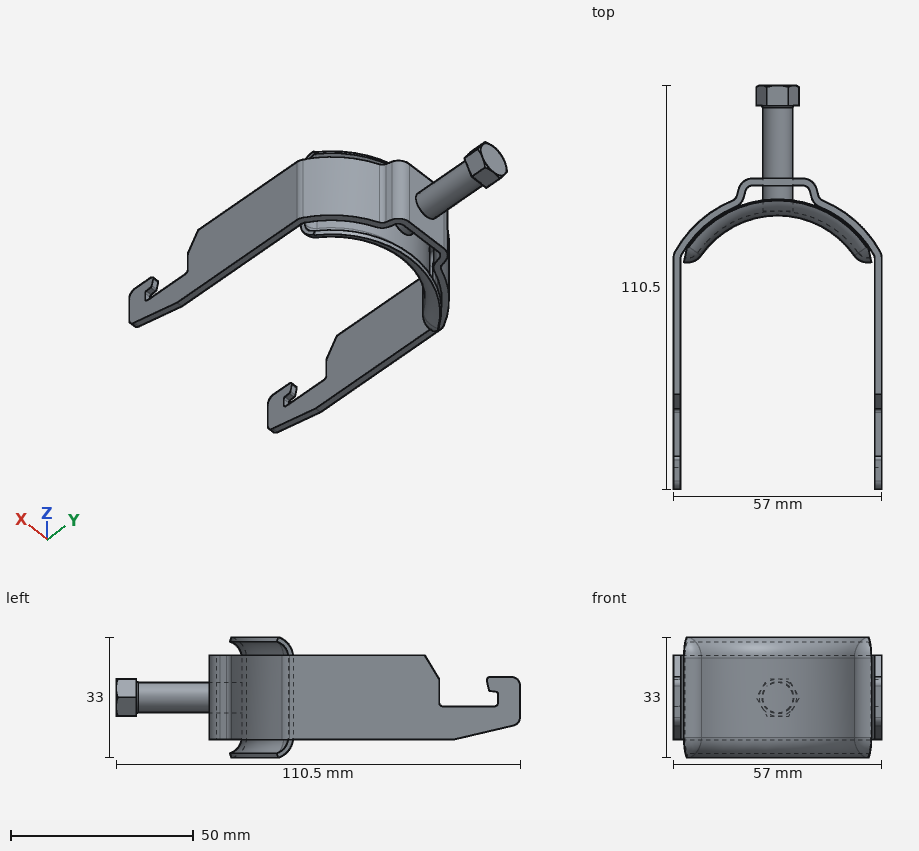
import cadquery as cq
import math


strap_span = 57.0
strap_width = 23.1
strap_gauge = 2.0
bend_inner = 2.0
bend_outer = bend_inner + strap_gauge
dome_radius = 32.2
bridge_top = 21.9
bridge_half_flat = 6.9
bridge_side_tilt = math.radians(15)
leg_end = -63.2
dome_center = -math.sqrt((dome_radius - bend_outer) ** 2 - (strap_span / 2 - bend_outer) ** 2)
bridge_half_sharp = bridge_half_flat + bend_outer * math.tan((math.pi / 2 - bridge_side_tilt) / 2)

shoulder_start = -37.1
throat_back = -41.1
throat_front = -57.1
throat_top = 5.0
throat_floor = -2.4
throat_radius = 1.0
lip_underside = 1.4
lip_inner_low = (-54.7, 1.8)
lip_inner_high = (-53.8, 5.6)
lip_radius = 0.5
lip_tip_radius = 1.0
nose_radius = 2.4
taper_start = -45.1
taper_end_height = -7.3

saddle_height = 33.0
saddle_gauge = 1.3
saddle_radius = 25.5
flare_radius = 6.0
flare_angle = math.radians(72)
flare_start = saddle_height / 2 - flare_radius * math.sin(flare_angle)
saddle_half_angle = 55.0
end_bend_radius = 4.6
end_bend_angle = 67

shank_diameter = 8.3
head_flats = 10.2
head_height = 5.5
clamp_length = 110.5
head_top = leg_end + clamp_length
head_chamfer_radius = 5.1
head_chamfer_tilt = math.radians(30)
collar_length = 0.5
collar_step = 0.2
bolt_tip = dome_center + saddle_radius + saddle_gauge


def strap_envelope(inset):
    """Solid bounded by the strap's outer face moved inwards by the inset."""
    half_span = strap_span / 2 - inset
    radius = dome_radius - inset
    top = bridge_top - inset
    half_top = bridge_half_sharp - inset / math.cos(bridge_side_tilt) + inset * math.tan(bridge_side_tilt)
    convex_bend = bend_outer - inset
    concave_bend = bend_inner + inset

    leg_top = dome_center + math.sqrt(radius ** 2 - half_span ** 2)
    rise = top - dome_center
    along = rise * math.cos(bridge_side_tilt) - half_top * math.sin(bridge_side_tilt)
    slant = along - math.sqrt(along ** 2 - (half_top ** 2 + rise ** 2 - radius ** 2))
    foot_x = half_top + slant * math.sin(bridge_side_tilt)
    foot_y = top - slant * math.cos(bridge_side_tilt)
    mid_angle = (math.atan2(leg_top - dome_center, half_span) + math.atan2(foot_y - dome_center, foot_x)) / 2
    mid_x = radius * math.cos(mid_angle)
    mid_y = dome_center + radius * math.sin(mid_angle)

    envelope = (
        cq.Workplane("XY", origin=(0, 0, -strap_width / 2))
        .moveTo(half_span, leg_end)
        .lineTo(half_span, leg_top)
        .threePointArc((mid_x, mid_y), (foot_x, foot_y))
        .lineTo(half_top, top)
        .lineTo(-half_top, top)
        .lineTo(-foot_x, foot_y)
        .threePointArc((-mid_x, mid_y), (-half_span, leg_top))
        .lineTo(-half_span, leg_end)
        .close()
        .extrude(strap_width)
    )
    bends = (
        (half_span, leg_top, convex_bend),
        (foot_x, foot_y, concave_bend),
        (half_top, top, convex_bend),
    )
    for x, y, radius_of_bend in bends:
        for side in (-1, 1):
            envelope = envelope.edges(cq.NearestToPointSelector((side * x, y, 0))).fillet(radius_of_bend)
    return envelope


def strap_side_profile():
    """Block with the outline of the legs and hooks, running right across the strap."""
    half_width = strap_width / 2
    profile = (
        cq.Workplane("YZ", origin=(-strap_span / 2, 0, 0))
        .polyline([
            (bridge_top, -half_width),
            (bridge_top, half_width),
            (shoulder_start, half_width),
            (throat_back, throat_top),
            (throat_back, throat_floor),
            (throat_front, throat_floor),
            (throat_front, lip_underside),
            lip_inner_low,
            lip_inner_high,
            (leg_end, lip_inner_high[1]),
            (leg_end, taper_end_height),
            (taper_start, -half_width),
        ])
        .close()
        .extrude(strap_span)
    )
    rounded_corners = (
        (throat_back, throat_floor, throat_radius),
        (throat_front, throat_floor, throat_radius),
        (throat_front, lip_underside, lip_radius),
        (*lip_inner_low, lip_radius),
        (*lip_inner_high, lip_tip_radius),
        (leg_end, lip_inner_high[1], nose_radius),
        (leg_end, taper_end_height, nose_radius),
    )
    for y, z, radius in rounded_corners:
        profile = profile.edges(cq.NearestToPointSelector((0, y, z))).fillet(radius)
    return profile


def make_strap():
    """Bent strip with a hooked leg at each end and a bolt hole in the bridge."""
    bent_strip = strap_envelope(0).cut(strap_envelope(strap_gauge))
    hooked_strip = bent_strip.intersect(strap_side_profile())
    bolt_hole = (
        cq.Workplane("XZ", origin=(0, bridge_top, 0))
        .circle(shank_diameter / 2)
        .extrude(strap_gauge)
    )
    return hooked_strip.cut(bolt_hole)


def saddle_section():
    """Cross-section of the saddle at its crest: a straight web with a flared rim at each edge."""
    inner_face = dome_center + saddle_radius
    outer_face = inner_face + saddle_gauge
    flare_center = inner_face + flare_radius

    def on_flare(radius, angle, side):
        return (flare_center - radius * math.cos(angle), side * (flare_start + radius * math.sin(angle)))

    inner = flare_radius
    outer = flare_radius - saddle_gauge
    half = flare_angle / 2
    return (
        cq.Workplane("YZ")
        .moveTo(inner_face, -flare_start)
        .lineTo(inner_face, flare_start)
        .threePointArc(on_flare(inner, half, 1), on_flare(inner, flare_angle, 1))
        .lineTo(*on_flare(outer, flare_angle, 1))
        .threePointArc(on_flare(outer, half, 1), (outer_face, flare_start))
        .lineTo(outer_face, -flare_start)
        .threePointArc(on_flare(outer, half, -1), on_flare(outer, flare_angle, -1))
        .lineTo(*on_flare(inner, flare_angle, -1))
        .threePointArc(on_flare(inner, half, -1), (inner_face, -flare_start))
        .close()
    )


def make_saddle():
    """Arched saddle whose rims and ends all turn away from the pipe."""
    pivot = (0, dome_center, 0)
    pivot_top = (0, dome_center, 1)
    arch = (
        saddle_section()
        .revolve(2 * saddle_half_angle, (dome_center, 0), (dome_center, 1))
        .rotate(pivot, pivot_top, -saddle_half_angle)
    )
    bend_axis = dome_center + saddle_radius + end_bend_radius
    left_end = (
        saddle_section()
        .revolve(end_bend_angle, (bend_axis, 1.1), (bend_axis, 0))
        .rotate(pivot, pivot_top, saddle_half_angle)
    )
    return arch.union(left_end).union(left_end.mirror("YZ"))


def make_bolt():
    """Hexagon-head bolt whose tip rests on the crest of the saddle."""
    head_base = head_top - head_height
    corner_diameter = head_flats / math.cos(math.pi / 6)
    head = (
        cq.Workplane("XZ", origin=(0, head_base, 0))
        .polygon(6, corner_diameter)
        .extrude(-head_height)
    )
    chamfer_drop = (corner_diameter / 2 - head_chamfer_radius) * math.tan(head_chamfer_tilt)
    chamfer_envelope = (
        cq.Workplane("XY")
        .polyline([
            (0, head_base),
            (corner_diameter / 2, head_base),
            (corner_diameter / 2, head_top - chamfer_drop),
            (head_chamfer_radius, head_top),
            (0, head_top),
        ])
        .close()
        .revolve(360, (0, 0), (0, 1))
    )
    shank_radius = shank_diameter / 2
    shank = (
        cq.Workplane("XY")
        .polyline([
            (0, bolt_tip),
            (shank_radius, bolt_tip),
            (shank_radius, head_base - collar_length),
            (shank_radius + collar_step, head_base),
            (0, head_base),
        ])
        .close()
        .revolve(360, (0, 0), (0, 1))
    )
    return head.intersect(chamfer_envelope).union(shank)


strap = make_strap()
saddle = make_saddle()
bolt = make_bolt()

result = cq.Compound.makeCompound([
    strap.solids().val(),
    saddle.solids().val(),
    bolt.solids().val(),
])